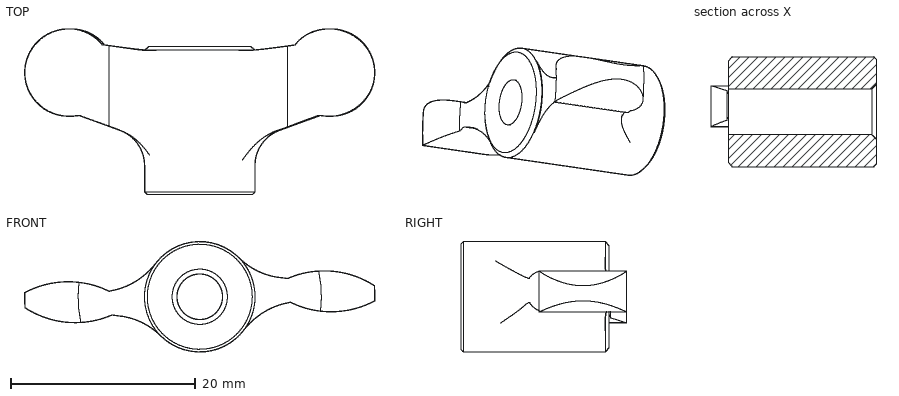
import cadquery as cq
import math


hub_radius = 6.0
front_y = -9.0
back_y = 7.1
front_chamfer = 0.3
back_face_radius = 5.5
back_chamfer_length = 0.4
bore_diameter = 4.92
countersink_diameter = 6.0

tip_radius = 4.75
wing_reach = 19.0
wing_back_y = 9.0
tip_r = wing_reach - tip_radius
tip_y = wing_back_y - tip_radius
back_edge_y = 6.62
back_edge_slope = math.radians(8.0)
root_radius = 4.0
root_y = -5.80
front_edge_slope = math.radians(20.0)

lobe_radius = 10.0
upper_lobe_center = (13.5, -7.18)
lower_lobe_center = (14.25, 8.36)
upper_neck_radius = 7.5
upper_neck_angle = math.radians(45.0)
upper_neck_end_x = 9.0
upper_lobe_start_x = 9.5
lower_neck_radius = 8.0
lower_neck_angle = math.radians(-37.4)
profile_end_x = wing_reach + 1.0


def polar(radius, angle):
    """Point at a distance and angle from the origin."""
    return (radius * math.cos(angle), radius * math.sin(angle))


def on_circle(center, radius, x, side):
    """Point of a circle at the given x; side is +1 for its upper half, -1 for its lower half."""
    return (x, center[1] + side * math.sqrt(radius**2 - (x - center[0]) ** 2))


def line_circle(point, slope, center, radius, side):
    """Crossing of a sloped line and a circle; side -1 is the first crossing, +1 the second."""
    direction = (math.cos(slope), math.sin(slope))
    to_center = (center[0] - point[0], center[1] - point[1])
    along = to_center[0] * direction[0] + to_center[1] * direction[1]
    across = to_center[0] * direction[1] - to_center[1] * direction[0]
    distance = along + side * math.sqrt(radius**2 - across**2)
    return (point[0] + distance * direction[0], point[1] + distance * direction[1])


def left_circle_crossing(lower_circle, lower_r, upper_circle, upper_r):
    """Left crossing of two circles, the second lying above the first."""
    dx = upper_circle[0] - lower_circle[0]
    dy = upper_circle[1] - lower_circle[1]
    gap = math.hypot(dx, dy)
    along = (gap**2 + lower_r**2 - upper_r**2) / (2 * gap)
    across = math.sqrt(lower_r**2 - along**2)
    return (
        lower_circle[0] + (along * dx - across * dy) / gap,
        lower_circle[1] + (along * dy + across * dx) / gap,
    )


def make_hub():
    return (
        cq.Workplane("XY")
        .moveTo(0, front_y)
        .lineTo(hub_radius - front_chamfer, front_y)
        .lineTo(hub_radius, front_y + front_chamfer)
        .lineTo(hub_radius, back_y - back_chamfer_length)
        .lineTo(back_face_radius, back_y)
        .lineTo(0, back_y)
        .close()
        .revolve(360, (0, 0), (0, 1))
    )


def make_wing_disc():
    """Section of the wings turned all the way round the Y axis."""
    tip_center = (tip_r, tip_y)
    back_edge_start = (hub_radius, back_edge_y)
    back_edge_end = line_circle(back_edge_start, back_edge_slope, tip_center, tip_radius, -1)
    root_center = (hub_radius + root_radius, root_y)
    root_end_angle = math.pi / 2 + front_edge_slope
    root_mid_angle = (math.pi + root_end_angle) / 2

    def on_root(angle):
        offset = polar(root_radius, angle)
        return (root_center[0] + offset[0], root_center[1] + offset[1])

    root_end = on_root(root_end_angle)
    front_edge_end = line_circle(root_end, front_edge_slope, tip_center, tip_radius, -1)
    return (
        cq.Workplane("XY")
        .moveTo(0, root_y)
        .lineTo(hub_radius, root_y)
        .threePointArc(on_root(root_mid_angle), root_end)
        .lineTo(*front_edge_end)
        .threePointArc((wing_reach, tip_y), back_edge_end)
        .lineTo(*back_edge_start)
        .lineTo(0, back_edge_y)
        .close()
        .revolve(360, (0, 0), (0, 1))
    )


def make_thickness_prism():
    """Thickness profile of the +X wing, run along Y."""
    upper_neck_center = polar(hub_radius + upper_neck_radius, upper_neck_angle)
    lower_neck_center = polar(hub_radius + lower_neck_radius, lower_neck_angle)
    upper_tangent = polar(hub_radius, upper_neck_angle)
    lower_tangent = polar(hub_radius, lower_neck_angle)

    def upper_neck(x):
        return on_circle(upper_neck_center, upper_neck_radius, x, -1)

    def lower_neck(x):
        return on_circle(lower_neck_center, lower_neck_radius, x, 1)

    def upper_lobe(x):
        return on_circle(upper_lobe_center, lobe_radius, x, 1)

    def lower_lobe(x):
        return on_circle(lower_lobe_center, lobe_radius, x, -1)

    lower_waist = left_circle_crossing(
        lower_neck_center, lower_neck_radius, lower_lobe_center, lobe_radius
    )
    return (
        cq.Workplane("XZ", origin=(0, wing_back_y, 0))
        .moveTo(*upper_tangent)
        .threePointArc(upper_neck((upper_tangent[0] + upper_neck_end_x) / 2), upper_neck(upper_neck_end_x))
        .lineTo(*upper_lobe(upper_lobe_start_x))
        .threePointArc(upper_lobe(upper_lobe_center[0]), upper_lobe(profile_end_x))
        .lineTo(*lower_lobe(profile_end_x))
        .threePointArc(lower_lobe(lower_lobe_center[0]), lower_waist)
        .threePointArc(lower_neck((lower_tangent[0] + lower_waist[0]) / 2), lower_tangent)
        .lineTo(0, 0)
        .close()
        .extrude(wing_back_y - front_y)
    )


def cut_bore(body):
    countersink_depth = (countersink_diameter - bore_diameter) / 2
    bore = cq.Workplane("XZ", origin=(0, back_y, 0)).circle(bore_diameter / 2).extrude(back_y - front_y)
    countersink = (
        cq.Workplane("XZ", origin=(0, front_y + countersink_depth, 0))
        .circle(bore_diameter / 2)
        .workplane(offset=countersink_depth)
        .circle(countersink_diameter / 2)
        .loft()
    )
    return body.cut(bore).cut(countersink)


wing = make_wing_disc().intersect(make_thickness_prism())
opposite_wing = wing.rotate((0, 0, 0), (0, 1, 0), 180)
result = cut_bore(make_hub().union(wing).union(opposite_wing))